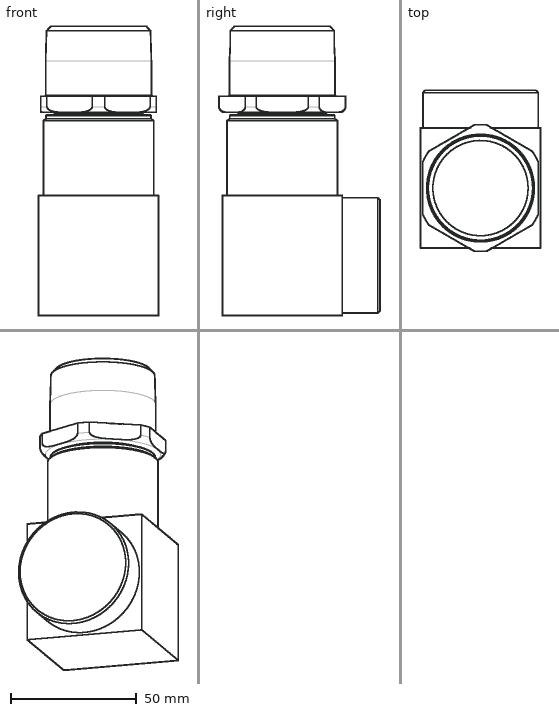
import cadquery as cq
import math

block_size = 48.0
block_chamfer = 0.2

collar_diameter = 46.0
collar_length = 15.0
collar_chamfer = 0.9

sleeve_diameter = 44.0
sleeve_rim_diameter = 42.0
sleeve_shoulder_z = 77.6
sleeve_rim_z = 78.4
sleeve_top_z = 79.9
sleeve_rim_chamfer = 0.3

neck_diameter = 35.0
hex_bottom_z = 80.9
hex_top_z = 87.4
hex_across_flats = 46.0
hex_corner_diameter = 50.5
hex_rounding = 2.3
root_cone = 0.3
shank_diameter = 42.2
taper_start_z = 101.5
taper_end_diameter = 41.5
tip_chamfer_z = 113.3
tip_diameter = 37.9
tip_z = 115.3


def make_block():
    """Cube with small chamfers round the top face and down the two front edges."""
    cube = cq.Workplane("XY").box(block_size, block_size, block_size, centered=(True, True, False))
    return cube.edges(">Z or (|Z and <Y)").chamfer(block_chamfer)


def make_collar():
    """Short round collar with a chamfered outer end, axis along Y."""
    face = cq.Workplane("XZ", origin=(0, block_size / 2, block_size / 2))
    collar = face.circle(collar_diameter / 2).extrude(-collar_length)
    return collar.faces(">Y").edges().chamfer(collar_chamfer)


def revolve_about_z(outline):
    """Solid of revolution from (radius, height) points, closed along the Z axis."""
    start_z = outline[0][1]
    end_z = outline[-1][1]
    points = [(0, start_z)] + outline + [(0, end_z)]
    return cq.Workplane("XZ").polyline(points).close().revolve(360, (0, 0), (0, 1))


def make_sleeve():
    """Cylinder that steps in through a short cone to a smaller, chamfered rim."""
    return revolve_about_z([
        (sleeve_diameter / 2, block_size),
        (sleeve_diameter / 2, sleeve_shoulder_z),
        (sleeve_rim_diameter / 2, sleeve_rim_z),
        (sleeve_rim_diameter / 2, sleeve_top_z - sleeve_rim_chamfer),
        (sleeve_rim_diameter / 2 - sleeve_rim_chamfer, sleeve_top_z),
    ])


def make_hexagon():
    """Hexagon with two corners on Y, turned round at the corners and rounded below."""
    corner_to_corner = hex_across_flats / math.cos(math.radians(30))
    prism = (
        cq.Workplane("XY", origin=(0, 0, hex_bottom_z))
        .transformed(rotate=(0, 0, 90))
        .polygon(6, corner_to_corner)
        .extrude(hex_top_z - hex_bottom_z)
    )
    turned_envelope = (
        cq.Workplane("XY", origin=(0, 0, hex_bottom_z))
        .circle(hex_corner_diameter / 2)
        .extrude(hex_top_z - hex_bottom_z)
        .faces("<Z").edges().fillet(hex_rounding)
    )
    return prism.intersect(turned_envelope)


def make_nipple():
    """Neck resting on the sleeve, hexagon, and shank with a slightly tapered, chamfered end."""
    neck = revolve_about_z([
        (neck_diameter / 2, sleeve_top_z),
        (neck_diameter / 2, hex_bottom_z - root_cone),
        (neck_diameter / 2 + root_cone, hex_bottom_z),
    ])
    shank = revolve_about_z([
        (shank_diameter / 2 + root_cone, hex_top_z),
        (shank_diameter / 2, hex_top_z + root_cone),
        (shank_diameter / 2, taper_start_z),
        (taper_end_diameter / 2, tip_chamfer_z),
        (tip_diameter / 2, tip_z),
    ])
    return make_hexagon().union(neck).union(shank)


block = make_block()
collar = make_collar()
sleeve = make_sleeve()
nipple = make_nipple()

result = cq.Compound.makeCompound([block.val(), collar.val(), sleeve.val(), nipple.val()])